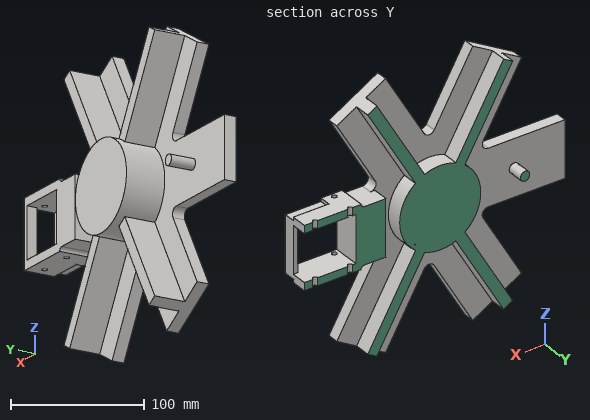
import cadquery as cq
import math

arm_count = 6
arm_reach = 125.0
arm_width = 52.0
plate_thickness = 10.5
notch_radius = 5.2

hub_diameter = 75.0
hub_top = 44.0
rib_thickness = 10.0
rib_top = 36.8
rib_angles = (60, 120, 240, 300)

pin_diameter = 9.0
pin_top = 31.5
pin_x = -78.0

frame_start = 72.8
frame_width = 58.0
frame_back_start = 50.0
window_start = 77.8
window_size = 43.0
bar_depth = 8.8
recess_start = 92.2
screw_hole_diameter = 4.2
screw_hole_places = ((82.8, 4.0), (82.8, 24.8), (115.0, 24.8))

flange_step = (frame_width - arm_width) / 2
window_end = window_start + window_size


def box(x_start, x_end, y_start, y_end, z_size, z_middle=0.0):
    """Box with X and Y limits, centred on z_middle."""
    return (
        cq.Workplane("XY")
        .box(x_end - x_start, y_end - y_start, z_size, centered=(False, False, True))
        .translate((x_start, y_start, z_middle))
    )


def cylinder(diameter, height, x=0.0):
    """Cylinder standing on Y = 0 along +Y."""
    return cq.Workplane("XZ").center(x, 0).circle(diameter / 2).extrude(-height)


def turn(body, angle):
    """Turn a body about the Y axis, from +X toward +Z."""
    return body.rotate((0, 0, 0), (0, 1, 0), -angle)


def make_star():
    arm = box(0, arm_reach, 0, plate_thickness, arm_width)
    star = arm
    for i in range(1, arm_count):
        star = star.union(turn(arm, i * 360 / arm_count))
    corner_distance = arm_width / 2 / math.sin(math.pi / arm_count)
    search_reach = corner_distance + notch_radius
    corner_edges = cq.selectors.BoxSelector(
        (-search_reach, 0, -search_reach), (search_reach, plate_thickness, search_reach)
    )
    return star.edges("|Y").edges(corner_edges).fillet(notch_radius)


def make_frame():
    half_arm = arm_width / 2
    half_frame = frame_width / 2
    flare_start = frame_start - flange_step
    arc_offset = flange_step * math.sqrt(0.5)
    arc_x = flare_start + arc_offset
    arc_z = half_frame - arc_offset
    frame = (
        cq.Workplane("XZ")
        .moveTo(frame_back_start, -half_arm)
        .lineTo(flare_start, -half_arm)
        .threePointArc((arc_x, -arc_z), (frame_start, -half_frame))
        .lineTo(arm_reach, -half_frame)
        .lineTo(arm_reach, half_frame)
        .lineTo(frame_start, half_frame)
        .threePointArc((arc_x, arc_z), (flare_start, half_arm))
        .lineTo(frame_back_start, half_arm)
        .close()
        .extrude(-rib_top)
    )
    for side in (-1, 1):
        recess_z = side * (half_frame - flange_step / 2)
        frame = frame.cut(box(recess_start, arm_reach, 0, plate_thickness, flange_step, recess_z))
    return frame


def cut_frame_openings(body):
    body = body.cut(box(window_start, window_end, 0, rib_top, window_size))
    body = body.cut(box(window_end, arm_reach, plate_thickness, rib_top - bar_depth, window_size))
    for x, y in screw_hole_places:
        hole = (
            cq.Workplane("XY")
            .center(x, y)
            .circle(screw_hole_diameter / 2)
            .extrude(frame_width / 2, both=True)
        )
        body = body.cut(hole)
    return body


result = make_star()
rib = box(0, arm_reach, 0, rib_top, rib_thickness)
for rib_angle in rib_angles:
    result = result.union(turn(rib, rib_angle))
result = result.union(cylinder(hub_diameter, hub_top))
result = result.union(cylinder(pin_diameter, pin_top, pin_x))
result = cut_frame_openings(result.union(make_frame()))